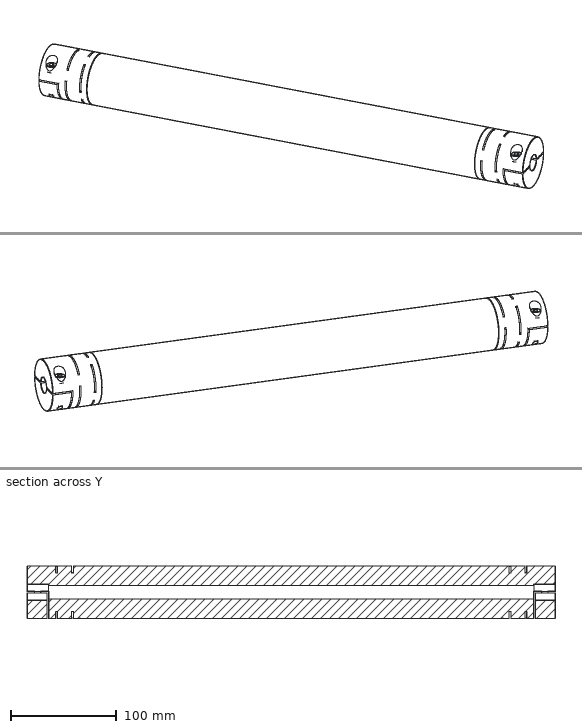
import cadquery as cq
import math

LENGTH = 500.0
OUTER_DIA = 50.0
BORE_DIA = 12.5
SHAFT_SEAT_DIA = 15.0
HUB_LENGTH = 50.0
EDGE_CHAMFER = 0.5

CAP_LENGTH = 19.0
CUT_WIDTH = 1.5
CLAMP_LENGTH = CAP_LENGTH + CUT_WIDTH

SCREW_X = 10.0
SCREW_Y = 17.0
HEAD_SEAT_Z = 9.0
COUNTERBORE_DIA = 11.0
CLEARANCE_DIA = 6.5
TAP_DIA = 4.9
HEAD_DIA = 10.0
HEAD_HEIGHT = 6.0
SHANK_DIA = 6.0
SHANK_LENGTH = 25.0
TIP_CHAMFER = 1.0
HEAD_CHAMFER = 0.5
SOCKET_SIDES = 6
SOCKET_FLATS = 4.0
SOCKET_DEPTH = 3.0

SLIT_X = 28.0
SLIT_SPACING = 15.0
SLIT_WIDTH = 1.5
SLIT_FLOOR_DIA = 37.0
SLITS_PER_RING = 4
SLIT_SPAN = 65.0
SLIT_OVERLAP = 10.0

REACH = OUTER_DIA


def x_cylinder(diameter, start, length):
    return cq.Workplane("YZ", origin=(start, 0, 0)).circle(diameter / 2).extrude(length)


def z_cylinder(y, diameter, bottom, top):
    plane = cq.Workplane("XY", origin=(SCREW_X, y, bottom))
    return plane.circle(diameter / 2).extrude(top - bottom)


def slit(x, start_angle):
    """Arc-shaped slit; angles are measured about X from +Y toward +Z."""
    def polar(radius, angle):
        return radius * math.cos(math.radians(angle)), radius * math.sin(math.radians(angle))

    inner = SLIT_FLOOR_DIA / 2
    middle = start_angle + SLIT_SPAN / 2
    end = start_angle + SLIT_SPAN
    return (
        cq.Workplane("YZ", origin=(x - SLIT_WIDTH / 2, 0, 0))
        .moveTo(*polar(inner, start_angle))
        .lineTo(*polar(REACH, start_angle))
        .threePointArc(polar(REACH, middle), polar(REACH, end))
        .lineTo(*polar(inner, end))
        .threePointArc(polar(inner, middle), polar(inner, start_angle))
        .close()
        .extrude(SLIT_WIDTH)
    )


def slit_rings():
    cuts = cq.Workplane("XY")
    pitch = 360 / SLITS_PER_RING
    for i in range(SLITS_PER_RING):
        cuts = cuts.add(slit(SLIT_X, i * pitch - SLIT_OVERLAP))
        cuts = cuts.add(slit(SLIT_X + SLIT_SPACING, i * pitch + SLIT_OVERLAP - SLIT_SPAN))
    return cuts.combine()


def clamp_cuts():
    """Flat cut across the axis and the upright cut behind the clamp cap."""
    flat = cq.Workplane("XY").box(CLAMP_LENGTH, REACH, CUT_WIDTH, centered=(False, True, True))
    upright = (
        cq.Workplane("XY", origin=(CAP_LENGTH, 0, 0))
        .box(CUT_WIDTH, REACH, REACH, centered=(False, True, False))
        .translate((0, 0, -REACH))
    )
    return flat.union(upright)


def screw_hole(y):
    return (
        z_cylinder(y, COUNTERBORE_DIA, HEAD_SEAT_Z, REACH)
        .union(z_cylinder(y, CLEARANCE_DIA, 0, HEAD_SEAT_Z))
        .union(z_cylinder(y, TAP_DIA, -REACH, 0))
    )


def screw(y):
    head_top = HEAD_SEAT_Z + HEAD_HEIGHT
    shank = z_cylinder(y, SHANK_DIA, HEAD_SEAT_Z - SHANK_LENGTH, HEAD_SEAT_Z)
    head = z_cylinder(y, HEAD_DIA, HEAD_SEAT_Z, head_top).faces(">Z").chamfer(HEAD_CHAMFER)
    socket = (
        cq.Workplane("XY", origin=(SCREW_X, y, head_top))
        .polygon(SOCKET_SIDES, SOCKET_FLATS, circumscribed=True)
        .extrude(-SOCKET_DEPTH)
    )
    return shank.faces("<Z").chamfer(TIP_CHAMFER).union(head).cut(socket)


def hub():
    """Hub with its clamp end at X = 0."""
    body = x_cylinder(OUTER_DIA, 0, HUB_LENGTH).edges().chamfer(EDGE_CHAMFER)
    body = body.cut(x_cylinder(BORE_DIA, 0, HUB_LENGTH))
    body = body.cut(x_cylinder(SHAFT_SEAT_DIA, 0, CLAMP_LENGTH))
    body = body.faces("<X").edges(cq.selectors.RadiusNthSelector(0)).chamfer(EDGE_CHAMFER)
    body = body.cut(clamp_cuts()).cut(slit_rings())
    for y in (-SCREW_Y, SCREW_Y):
        body = body.cut(screw_hole(y)).union(screw(y))
    return body


left_hub = hub().translate((-LENGTH / 2, 0, 0))
right_hub = left_hub.rotate((0, 0, 0), (0, 0, 1), 180)
tube_length = LENGTH - 2 * HUB_LENGTH
tube = x_cylinder(OUTER_DIA, -tube_length / 2, tube_length)
tube = tube.cut(x_cylinder(BORE_DIA, -tube_length / 2, tube_length))
result = tube.union(left_hub).union(right_hub)